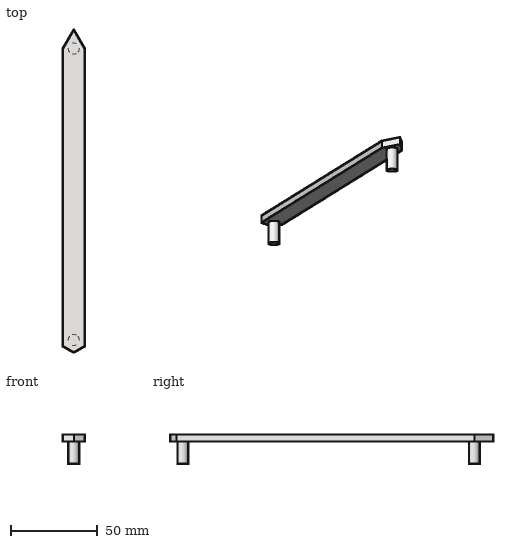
import cadquery as cq
import math

bar_width = 12.7
bar_length = 186.09
bar_thickness = bar_width / 3
pin_diameter = bar_width / 2
pin_length = bar_width
sharp_tip_angle = 60.0
blunt_tip_angle = 120.0

half_width = bar_width / 2
sharp_tip_length = half_width / math.tan(math.radians(sharp_tip_angle / 2))
blunt_tip_length = half_width / math.tan(math.radians(blunt_tip_angle / 2))

blunt_shoulder_y = blunt_tip_length
sharp_shoulder_y = bar_length - sharp_tip_length
blunt_pin_y = 2 * blunt_tip_length
sharp_pin_y = sharp_shoulder_y


def make_bar():
    """Flat bar pointed at both ends, with its underside at Z = 0."""
    outline = [
        (0, 0),
        (half_width, blunt_shoulder_y),
        (half_width, sharp_shoulder_y),
        (0, bar_length),
        (-half_width, sharp_shoulder_y),
        (-half_width, blunt_shoulder_y),
    ]
    return cq.Workplane("XY").polyline(outline).close().extrude(bar_thickness)


def make_pins():
    """Two round pins hanging from the underside of the bar."""
    centers = [(0, blunt_pin_y), (0, sharp_pin_y)]
    return cq.Workplane("XY").pushPoints(centers).circle(pin_diameter / 2).extrude(-pin_length)


result = make_bar().union(make_pins())